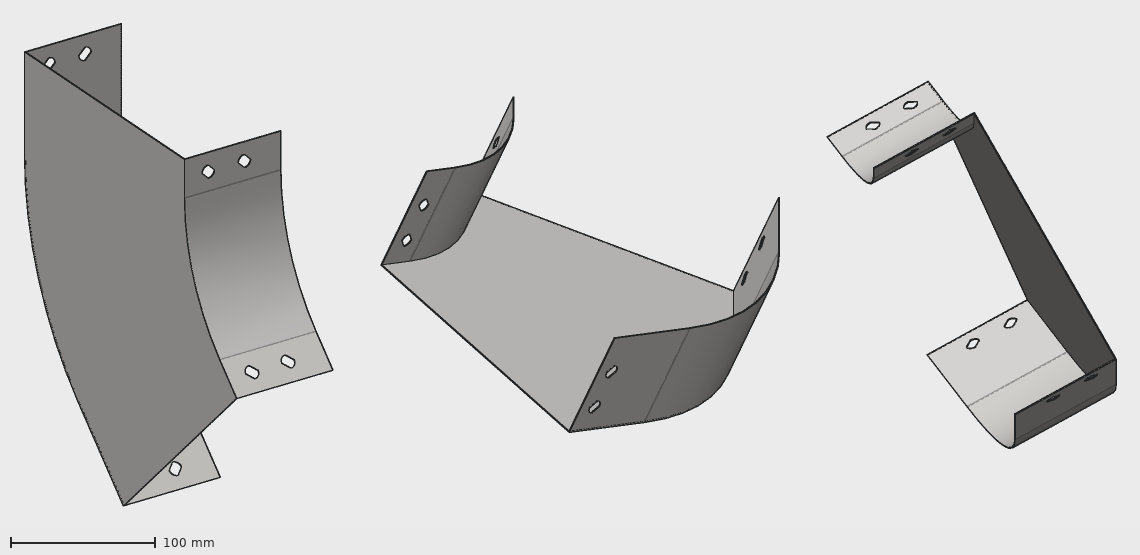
import cadquery as cq
import math

TOTAL_HEIGHT = 298.7
TOTAL_WIDTH = 265.2
DEPTH = 80.0
SHEET = 0.8
BEND_ANGLE = 45.0
OUTER_RADIUS = 230.0
INNER_RADIUS = 150.0

HOLE_DIAMETER = 10.2
HOLE_FLAT_WIDTH = 7.2
HOLE_TILT = 45.0
HOLE_END_DISTANCE = 15.0
HOLE_PITCH = 30.0
FIRST_HOLE_FROM_BASE = 20.0

ALONG_X = math.sin(math.radians(BEND_ANGLE))
ALONG_Z = math.cos(math.radians(BEND_ANGLE))
HALF_TANGENT = math.tan(math.radians(BEND_ANGLE / 2))

OUTER_LEG = TOTAL_HEIGHT / (1 + ALONG_Z)
TRAY_WIDTH = (TOTAL_WIDTH - OUTER_LEG * ALONG_X) / ALONG_Z


def side_points(offset, radius):
    """Start, tangent, mid-arc, tangent and end points of a side, offset inward from the outer side."""
    leg = OUTER_LEG - offset * HALF_TANGENT
    straight = leg - radius * HALF_TANGENT
    arc_start_z = TOTAL_HEIGHT - straight

    def arc_point(degrees):
        angle = math.radians(degrees)
        return (offset + radius * (1 - math.cos(angle)), arc_start_z - radius * math.sin(angle))

    arc_end = arc_point(BEND_ANGLE)
    end = (arc_end[0] + straight * ALONG_X, arc_end[1] - straight * ALONG_Z)
    return [(offset, TOTAL_HEIGHT), (offset, arc_start_z), arc_point(BEND_ANGLE / 2), arc_end, end]


def strip(first_offset, first_radius, second_offset, second_radius, depth):
    """Solid between two sides, standing on the y = 0 plane."""
    first = side_points(first_offset, first_radius)
    second = side_points(second_offset, second_radius)
    return (
        cq.Workplane("XZ")
        .moveTo(*first[0])
        .lineTo(*first[1])
        .threePointArc(first[2], first[3])
        .lineTo(*first[4])
        .lineTo(*second[4])
        .lineTo(*second[3])
        .threePointArc(second[2], second[1])
        .lineTo(*second[0])
        .close()
        .extrude(-depth)
    )


def hole_cutter(end_corner, along, across, tilt):
    """Pair of round holes with two tilted flats through one wall, near the given end corner."""
    wall_start = cq.Vector(
        end_corner[0] + along[0] * HOLE_END_DISTANCE,
        0,
        end_corner[1] + along[1] * HOLE_END_DISTANCE,
    )
    wall_plane = cq.Plane(origin=wall_start, xDir=(0, 1, 0), normal=(across[0], 0, across[1]))
    hole_places = [(FIRST_HOLE_FROM_BASE, 0), (FIRST_HOLE_FROM_BASE + HOLE_PITCH, 0)]
    rounds = cq.Workplane(wall_plane).pushPoints(hole_places).circle(HOLE_DIAMETER / 2)
    bands = cq.Workplane(wall_plane).pushPoints(hole_places).slot2D(2 * HOLE_DIAMETER, HOLE_FLAT_WIDTH, tilt)
    return rounds.extrude(SHEET, both=True).intersect(bands.extrude(SHEET, both=True))


base = strip(0, OUTER_RADIUS, TRAY_WIDTH, INNER_RADIUS, SHEET)
outer_wall = strip(0, OUTER_RADIUS, SHEET, OUTER_RADIUS - SHEET, DEPTH)
inner_wall = strip(TRAY_WIDTH - SHEET, INNER_RADIUS + SHEET, TRAY_WIDTH, INNER_RADIUS, DEPTH)
tray = base.union(outer_wall).union(inner_wall)

upper_across = (1, 0)
upper_along = (0, -1)
lower_across = (ALONG_Z, ALONG_X)
lower_along = (-ALONG_X, ALONG_Z)

result = tray
for offset, radius, tilt in [(0, OUTER_RADIUS, HOLE_TILT), (TRAY_WIDTH, INNER_RADIUS, -HOLE_TILT)]:
    side = side_points(offset, radius)
    result = result.cut(hole_cutter(side[0], upper_along, upper_across, tilt))
    result = result.cut(hole_cutter(side[-1], lower_along, lower_across, tilt))